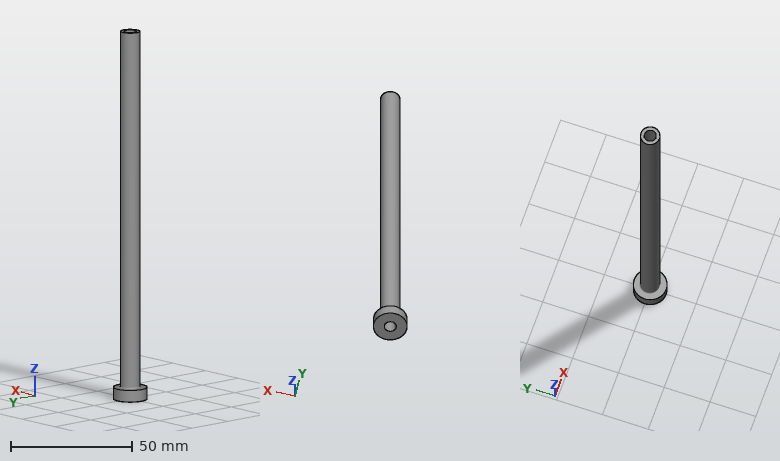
import cadquery as cq

total_length = 155.0
head_diameter = 14.0
head_height = 5.0
tube_diameter = 8.0
bore_diameter = 5.0
neck_fillet = 0.5

head = cq.Workplane("XY").circle(head_diameter / 2).extrude(head_height)
tube = cq.Workplane("XY").circle(tube_diameter / 2).extrude(total_length)
body = head.union(tube)

neck_edge = cq.selectors.RadiusNthSelector(0)
head_top_edges = body.faces(cq.selectors.NearestToPointSelector(
    ((head_diameter + tube_diameter) / 4, 0, head_height)))
body = head_top_edges.edges(neck_edge).fillet(neck_fillet)

bore = cq.Workplane("XY").circle(bore_diameter / 2).extrude(total_length)
result = body.cut(bore)